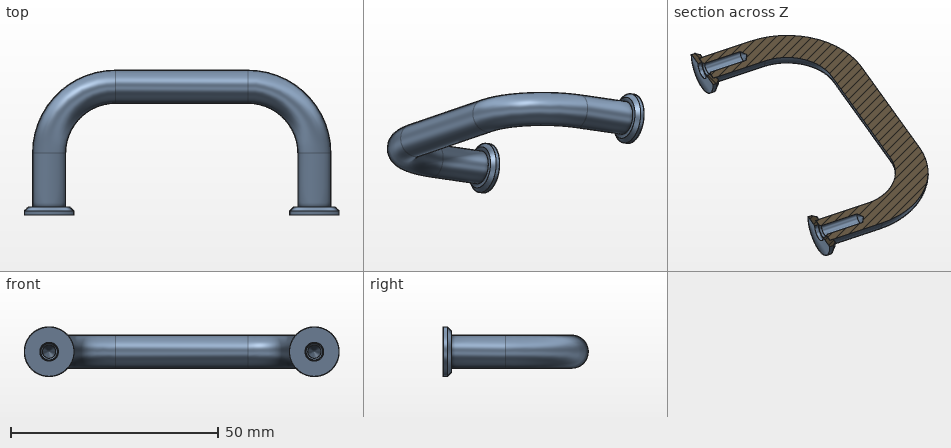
import cadquery as cq

hole_spacing = 64.0
handle_height = 35.0
bar_diameter = 8.0
bend_radius = 16.0

foot_diameter = 12.0
foot_thickness = 2.0
foot_edge_chamfer = 1.0
foot_hole_diameter = 4.5
socket_depth = 1.0

screw_hole_diameter = 3.2
screw_hole_depth = 10.0
countersink_diameter = 4.0
countersink_depth = 0.5
drill_tip_slope = 0.6

leg_end_y = foot_thickness - socket_depth
leg_x = hole_spacing / 2
bar_axis_y = handle_height - bar_diameter / 2
bend_start_y = bar_axis_y - bend_radius
bend_end_x = leg_x - bend_radius


def make_screw_hole(x):
    """Blind hole into the end of a leg, with a countersunk mouth and a drill point."""
    hole_radius = screw_hole_diameter / 2
    mouth_radius = countersink_diameter / 2
    hole_end_y = leg_end_y + screw_hole_depth
    profile = (
        cq.Workplane("XY")
        .moveTo(0, leg_end_y)
        .lineTo(mouth_radius, leg_end_y)
        .lineTo(hole_radius, leg_end_y + countersink_depth)
        .lineTo(hole_radius, hole_end_y)
        .lineTo(0, hole_end_y + drill_tip_slope * hole_radius)
        .close()
    )
    return profile.revolve(360, (0, 0), (0, 1)).translate((x, 0, 0))


def make_handle():
    """Round bar bent into a U, its legs set into the feet, with a screw hole in each leg."""
    path = (
        cq.Workplane("XY")
        .moveTo(-leg_x, leg_end_y)
        .lineTo(-leg_x, bend_start_y)
        .radiusArc((-bend_end_x, bar_axis_y), bend_radius)
        .lineTo(bend_end_x, bar_axis_y)
        .radiusArc((leg_x, bend_start_y), bend_radius)
        .lineTo(leg_x, leg_end_y)
    )
    bar = (
        cq.Workplane("XZ", origin=(-leg_x, leg_end_y, 0))
        .circle(bar_diameter / 2)
        .sweep(path)
    )
    for x in (-leg_x, leg_x):
        bar = bar.cut(make_screw_hole(x))
    return bar


def make_foot(x):
    """Washer under a leg, chamfered on the edge facing the handle and recessed for the leg."""
    foot = (
        cq.Workplane("XZ", origin=(x, 0, 0))
        .circle(foot_diameter / 2)
        .extrude(-foot_thickness)
        .faces(">Y")
        .chamfer(foot_edge_chamfer)
    )
    through_hole = (
        cq.Workplane("XZ", origin=(x, 0, 0))
        .circle(foot_hole_diameter / 2)
        .extrude(-foot_thickness)
    )
    leg_socket = (
        cq.Workplane("XZ", origin=(x, leg_end_y, 0))
        .circle(bar_diameter / 2)
        .extrude(-socket_depth)
    )
    return foot.cut(through_hole).cut(leg_socket)


handle = make_handle()
feet = [make_foot(x) for x in (-leg_x, leg_x)]

result = cq.Compound.makeCompound([handle.val(), *[foot.val() for foot in feet]])